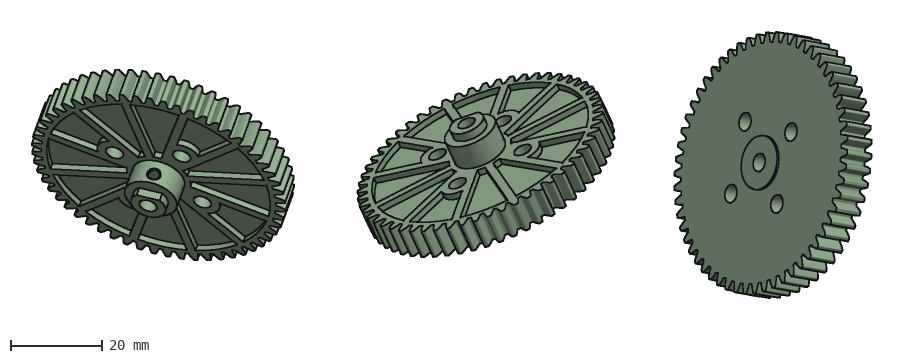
import cadquery as cq
import math


tooth_count = 56
tip_diameter = 57.85
pitch_diameter = 56.0
root_diameter = 53.5
pressure_angle = math.radians(20)
tooth_corner_radius = 0.25
gear_thickness = 7.0
joining_tolerance = 0.001
pattern_angle = 62.1

rib_count = 12
rib_width = 2.0
pocket_depth = 1.5
pocket_outer_radius = 25.5
pocket_inner_radius = 7.3

boss_count = 4
boss_circle_radius = 11.35
boss_diameter = 8.0
bolt_hole_diameter = 4.05

hub_diameter = 12.0
hub_back_lip = 0.5
hub_length = 13.5
overall_length = 15.5
nose_diameter = 8.0
nose_flat_height = 3.0
bore_diameter = 4.0

screw_hole_diameter = 2.5
screw_mouth_chamfer = 0.3
screw_offset = 3.55

hub_back = gear_thickness + hub_back_lip
hub_front = hub_back - hub_length
nose_front = hub_back - overall_length
rib_pitch = 360 / rib_count


def cylinder(diameter, y_start, y_end):
    """Solid cylinder on the gear axis between two Y positions."""
    plane = cq.Workplane("XZ", origin=(0, y_start, 0))
    return plane.circle(diameter / 2).extrude(y_start - y_end)


def polar(radius, angle):
    """Point at a radius and an angle in radians."""
    return (radius * math.cos(angle), radius * math.sin(angle))


def tooth_half_angle(radius):
    """Half the angle that one involute tooth spans at the given radius."""
    def involute(angle):
        return math.tan(angle) - angle

    base_radius = pitch_diameter / 2 * math.cos(pressure_angle)
    half_angle_at_pitch = math.pi / (2 * tooth_count)
    return half_angle_at_pitch + involute(pressure_angle) - involute(math.acos(base_radius / radius))


def make_tooth_edges():
    """Outline edges of one tooth, from mid-gap to mid-gap, with rounded tip and root corners."""
    root_radius = root_diameter / 2
    tip_radius = tip_diameter / 2
    flank_radii = [root_radius, (root_radius + tip_radius) / 2, tip_radius]
    axis = math.radians(pattern_angle)
    half_pitch = math.pi / tooth_count
    root_half_angle = tooth_half_angle(root_radius)
    mid_root_angle = (half_pitch + root_half_angle) / 2

    rising = [polar(r, axis - tooth_half_angle(r)) for r in flank_radii]
    falling = [polar(r, axis + tooth_half_angle(r)) for r in reversed(flank_radii)]
    sector = (
        cq.Workplane("XZ")
        .lineTo(*polar(root_radius, axis - half_pitch))
        .threePointArc(polar(root_radius, axis - mid_root_angle), rising[0])
        .threePointArc(rising[1], rising[2])
        .threePointArc(polar(tip_radius, axis), falling[0])
        .threePointArc(falling[1], falling[2])
        .threePointArc(
            polar(root_radius, axis + mid_root_angle), polar(root_radius, axis + half_pitch)
        )
        .close()
        .val()
    )

    def is_tooth_corner(vertex):
        x, _, z = vertex.toTuple()
        turn = abs(math.atan2(z, x) - axis)
        return math.hypot(x, z) > pocket_outer_radius and turn < mid_root_angle

    corners = [vertex for vertex in sector.Vertices() if is_tooth_corner(vertex)]
    rounded = sector.fillet2D(tooth_corner_radius, corners)
    return [edge for edge in rounded.Edges() if edge.geomType() != "LINE"]


def make_toothed_disc():
    """Full-thickness disc with near-involute teeth, rounded at the tips and roots."""
    tooth_pitch = 360 / tooth_count
    tooth_edges = make_tooth_edges()
    axis_start = cq.Vector(0, 0, 0)
    axis_end = cq.Vector(0, 1, 0)
    outline_edges = []
    for i in range(tooth_count):
        for edge in tooth_edges:
            outline_edges.append(edge.rotate(axis_start, axis_end, i * tooth_pitch))
    outline = cq.Wire.combine(outline_edges, joining_tolerance)[0]
    disc = cq.Solid.extrudeLinear(outline, [], cq.Vector(0, gear_thickness, 0))
    return cq.Workplane(disc).clean()


def make_pocket(angle, inner_radius):
    """Cutter for one sector pocket whose sides run parallel to the neighbouring ribs."""
    half_pitch = math.radians(rib_pitch / 2)
    middle = math.radians(angle)

    def half_angle(radius):
        return half_pitch - math.asin(rib_width / 2 / radius)

    inner_half = half_angle(inner_radius)
    outer_half = half_angle(pocket_outer_radius)
    return (
        cq.Workplane("XZ")
        .moveTo(*polar(inner_radius, middle - inner_half))
        .lineTo(*polar(pocket_outer_radius, middle - outer_half))
        .threePointArc(
            polar(pocket_outer_radius, middle),
            polar(pocket_outer_radius, middle + outer_half),
        )
        .lineTo(*polar(inner_radius, middle + inner_half))
        .threePointArc(polar(inner_radius, middle), polar(inner_radius, middle - inner_half))
        .close()
        .extrude(-pocket_depth)
    )


def make_gear():
    """Toothed disc with front pockets, bolt bosses and a bore that seats the hub."""
    ribs_per_boss = rib_count // boss_count
    boss_step = 2 * math.pi / boss_count
    boss_centres = [
        polar(boss_circle_radius, math.radians(pattern_angle) + i * boss_step)
        for i in range(boss_count)
    ]
    bosses = cq.Workplane("XZ").pushPoints(boss_centres).circle(boss_diameter / 2).extrude(-pocket_depth)
    bolt_holes = (
        cq.Workplane("XZ").pushPoints(boss_centres).circle(bolt_hole_diameter / 2).extrude(-gear_thickness)
    )

    gear = make_toothed_disc()
    for i in range(rib_count):
        has_boss = i % ribs_per_boss == 0
        inner_radius = boss_circle_radius if has_boss else pocket_inner_radius
        gear = gear.cut(make_pocket(pattern_angle + i * rib_pitch, inner_radius))
    gear = gear.union(bosses)
    gear = gear.cut(bolt_holes)
    return gear.cut(cylinder(hub_diameter, 0, gear_thickness))


def cut_screw_hole(hub):
    """Cut a radial set-screw hole from the top of the hub to the bore and chamfer its mouth."""
    hub_radius = hub_diameter / 2
    hole_radius = screw_hole_diameter / 2
    hole = cq.Workplane("XY").center(0, -screw_offset).circle(hole_radius).extrude(hub_radius)
    mouth = cq.selectors.BoxSelector(
        (-screw_hole_diameter, -screw_offset - screw_hole_diameter, hub_radius - hole_radius),
        (screw_hole_diameter, -screw_offset + screw_hole_diameter, hub_diameter),
        boundingbox=True,
    )
    return hub.cut(hole).edges(mouth).chamfer(screw_mouth_chamfer)


def make_hub():
    """Hub cylinder with a flatted nose, a through bore and a set-screw hole."""
    nose = cylinder(nose_diameter, nose_front, hub_front)
    flat = (
        cq.Workplane("XY", origin=(0, 0, nose_flat_height))
        .rect(nose_diameter, -2 * nose_front)
        .extrude(nose_diameter)
    )
    hub = cylinder(hub_diameter, hub_front, hub_back).union(nose.cut(flat))
    hub = hub.cut(cylinder(bore_diameter, nose_front, hub_back))
    return cut_screw_hole(hub)


gear = make_gear()
hub = make_hub()

result = cq.Compound.makeCompound([gear.val(), hub.val()])